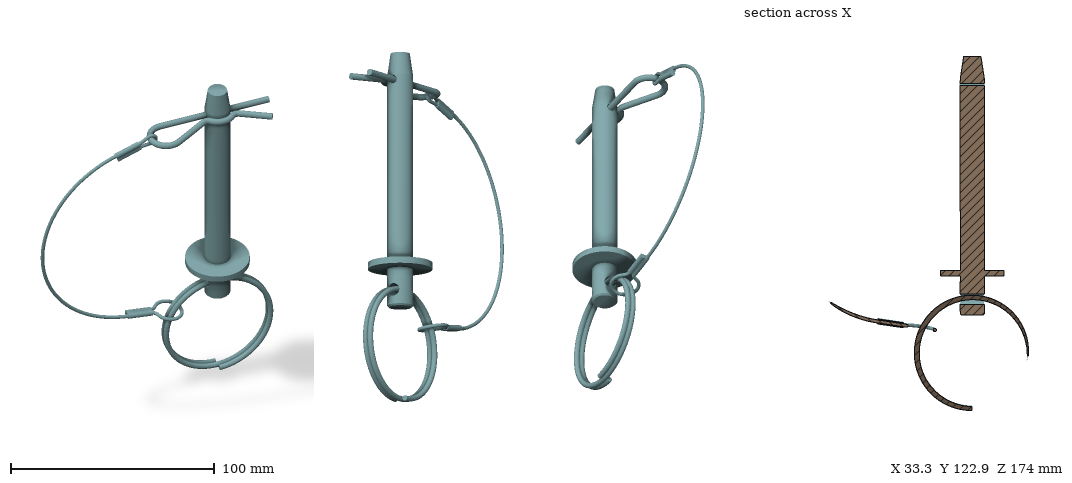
import cadquery as cq
import math


pin_dia = 12.7
grip_length = 104.775
taper_length = 11.1125
tip_dia = 9.525
collar_dia = 31.75
collar_thickness = 3.175
shank_length = 19.05
end_chamfer = 0.8
cotter_hole_dia = 3.97
cotter_hole_below_tip = 13.8
cotter_z = grip_length - cotter_hole_below_tip
ring_hole_dia = 6.35
pin_bottom_z = -collar_thickness - shank_length
ring_hole_above_bottom = 7.9375
ring_hole_z = pin_bottom_z + ring_hole_above_bottom

cotter_wire_dia = 3.175
bulge_radius = (pin_dia + cotter_wire_dia) / 2
bend_radius = bulge_radius
blend_radius = 3.175
straight_leg_end_y = 27.0
bend_y = -30.25
spring_leg_angle = 30.0
tail_length = 16.5

ring_outer_dia = 57.15
ring_wire_dia = 2.7
ring_pitch = 2.73
ring_turns = 2
ring_center_below_pin = 18.455
ring_center_z = pin_bottom_z - ring_center_below_pin

cable_dia = 1.76
ferrule_length = 12.9
ferrule_lobe_dia = 1.5 * cable_dia
ferrule_groove_radius = 2.1
lane_offset = 1.26
cable_lean = 4.85
upper_slope = 20.0
lower_slope = 8.5
upper_loop_radius = 2.55
upper_loop_to_ferrule = 6.3
lower_loop_radius = 6.8
lower_loop_to_ferrule = 8.8
lower_loop_shift = 0.9
lower_ferrule_drop = 118.5
lower_ferrule_y = -33.7
cable_apex_y = -93.445
cable_apex_drop = 60.3


def make_pin():
    body = (
        cq.Workplane("XZ")
        .moveTo(0, pin_bottom_z)
        .lineTo(pin_dia / 2 - end_chamfer, pin_bottom_z)
        .lineTo(pin_dia / 2, pin_bottom_z + end_chamfer)
        .lineTo(pin_dia / 2, -collar_thickness)
        .lineTo(collar_dia / 2, -collar_thickness)
        .lineTo(collar_dia / 2, 0)
        .lineTo(pin_dia / 2, 0)
        .lineTo(pin_dia / 2, grip_length - taper_length)
        .lineTo(tip_dia / 2, grip_length)
        .lineTo(0, grip_length)
        .close()
        .revolve(360, (0, 0), (0, 1))
    )
    for hole_z, hole_dia in ((cotter_z, cotter_hole_dia), (ring_hole_z, ring_hole_dia)):
        hole = cq.Workplane("XZ").center(0, hole_z).circle(hole_dia / 2).extrude(pin_dia, both=True)
        body = body.cut(hole)
    return body


def make_cotter():
    angle = math.radians(spring_leg_angle)
    outward = cq.Vector(math.cos(angle), math.sin(angle))
    along = cq.Vector(-math.sin(angle), math.cos(angle))
    bend_center = cq.Vector(bend_radius, bend_y)
    bend_end = bend_center + outward * bend_radius

    leg_offset = bend_end.dot(outward)
    blend_offset = leg_offset + blend_radius
    foot_distance = math.sqrt((bulge_radius + blend_radius) ** 2 - blend_offset ** 2)
    blend_center = outward * blend_offset - along * foot_distance
    leg_end = blend_center - outward * blend_radius
    bulge_start = blend_center.normalized() * bulge_radius
    to_blend_middle = (leg_end - blend_center).normalized() + (bulge_start - blend_center).normalized()
    blend_middle = blend_center + to_blend_middle.normalized() * blend_radius

    def mirrored(point):
        return cq.Vector(point.x, -point.y)

    tail_end = mirrored(leg_end - along * tail_length)
    path = (
        cq.Workplane("XY", origin=(0, 0, cotter_z))
        .moveTo(0, straight_leg_end_y)
        .lineTo(0, bend_y)
        .threePointArc((bend_radius, bend_y - bend_radius), bend_end.toTuple()[:2])
        .lineTo(leg_end.x, leg_end.y)
        .threePointArc(blend_middle.toTuple()[:2], bulge_start.toTuple()[:2])
        .threePointArc((bulge_radius, 0), mirrored(bulge_start).toTuple()[:2])
        .threePointArc(mirrored(blend_middle).toTuple()[:2], mirrored(leg_end).toTuple()[:2])
        .lineTo(tail_end.x, tail_end.y)
    )
    profile = cq.Workplane("XZ", origin=(0, straight_leg_end_y, cotter_z)).circle(cotter_wire_dia / 2)
    return profile.sweep(path)


def make_split_ring():
    coil_radius = (ring_outer_dia - ring_wire_dia) / 2
    coil_width = ring_turns * ring_pitch
    helix = cq.Wire.makeHelix(ring_pitch, coil_width, coil_radius, lefthand=True)
    profile = cq.Workplane("XZ", origin=(coil_radius, 0, 0)).circle(ring_wire_dia / 2)
    coil = profile.sweep(cq.Workplane(obj=helix), isFrenet=True)
    return (
        coil.rotate((0, 0, 0), (0, 1, 0), 90)
        .translate((-coil_width / 2, 0, ring_center_z))
    )


lanyard_origin = cq.Vector(bend_radius, bend_y - bend_radius, cotter_z)

upper_angle = math.radians(upper_slope)
upper_axis = cq.Vector(0, -math.cos(upper_angle), -math.sin(upper_angle))
upper_side = cq.Vector(0, -math.sin(upper_angle), math.cos(upper_angle))
upper_loop_center = cq.Vector(0, 0, 0)
upper_mouth = upper_axis * upper_loop_to_ferrule

lower_angle = math.radians(lower_slope)
lower_axis = cq.Vector(0, -math.cos(lower_angle), math.sin(lower_angle))
lower_side = cq.Vector(1, 0, 0)
lower_mouth = cq.Vector(-lane_offset, lower_ferrule_y - lanyard_origin.y, -lower_ferrule_drop)
lower_loop_center = lower_mouth - lower_axis * lower_loop_to_ferrule + lower_side * lower_loop_shift


def place_lanyard(shape):
    leaned = shape.rotate((0, 0, 0), (0, 1, 0), cable_lean)
    return leaned.translate(lanyard_origin)


def make_cable_end(mouth, axis, side, loop_center, loop_radius):
    """Centerline from the tail's end, through the ferrule, around the loop and back through the ferrule."""
    edges = []
    lane_mouths = [mouth - side * lane_offset, mouth + side * lane_offset]
    touch_points = []
    touch_tangents = []
    for lane_mouth, turn in zip(lane_mouths, (-1, 1)):
        to_mouth = lane_mouth - loop_center
        tangent_angle = math.acos(loop_radius / to_mouth.Length)
        mouth_angle = math.atan2(to_mouth.dot(side), to_mouth.dot(axis))
        touch_angle = mouth_angle + turn * tangent_angle
        radial = axis * math.cos(touch_angle) + side * math.sin(touch_angle)
        touch_points.append(loop_center + radial * loop_radius)
        touch_tangents.append((lane_mouth - touch_points[-1]).normalized())

    tail_touch, cable_touch = touch_points
    loop_far_point = loop_center - axis * loop_radius
    lane_length = axis * ferrule_length
    edges.append(cq.Edge.makeLine(lane_mouths[0] + lane_length, lane_mouths[0]))
    edges.append(cq.Edge.makeSpline([lane_mouths[0], tail_touch], [axis * -1, touch_tangents[0] * -1]))
    edges.append(cq.Edge.makeThreePointArc(tail_touch, loop_far_point, cable_touch))
    edges.append(cq.Edge.makeSpline([cable_touch, lane_mouths[1]], [touch_tangents[1], axis]))
    edges.append(cq.Edge.makeLine(lane_mouths[1], lane_mouths[1] + lane_length))
    return edges


def make_round_run(start, start_direction, end, end_direction):
    """Nearly circular curve that keeps exact directions at both ends."""
    turn = start_direction.getAngle(end_direction)
    radius = (end - start).Length / (2 * math.sin(turn / 2))
    handle = 4 / 3 * math.tan(turn / 4) * radius
    return cq.Edge.makeBezier(
        [start, start + start_direction * handle, end - end_direction * handle, end]
    )


def make_cable():
    upper_edges = make_cable_end(upper_mouth, upper_axis, upper_side, upper_loop_center, upper_loop_radius)
    lower_edges = make_cable_end(lower_mouth, lower_axis, lower_side, lower_loop_center, lower_loop_radius)
    run_start = upper_edges[-1].endPoint()
    run_end = lower_edges[-1].endPoint()
    apex = cq.Vector(0, cable_apex_y - lanyard_origin.y, -cable_apex_drop)
    down = cq.Vector(0, 0, -1)
    run = [
        make_round_run(run_start, upper_axis, apex, down),
        make_round_run(apex, down, run_end, lower_axis * -1),
    ]
    path = cq.Wire.assembleEdges(upper_edges + run + lower_edges[::-1])
    tail_end = upper_edges[0].startPoint()
    profile = cq.Workplane(cq.Plane(tail_end, (1, 0, 0), upper_axis)).circle(cable_dia / 2)
    return place_lanyard(profile.sweep(cq.Workplane(obj=path)))


def make_ferrule(mouth, axis, side):
    """Figure-eight sleeve: two round lobes joined by shallow grooves, with a bore for each lane."""
    lobe_radius = ferrule_lobe_dia / 2
    center_distance = lobe_radius + ferrule_groove_radius
    groove_height = math.sqrt(center_distance ** 2 - lane_offset ** 2)
    waist = groove_height - ferrule_groove_radius
    seam_x = lane_offset * ferrule_groove_radius / center_distance
    seam_y = groove_height * lobe_radius / center_distance
    outer_x = lane_offset + lobe_radius
    plane = cq.Plane(mouth, side, axis)
    sleeve = (
        cq.Workplane(plane)
        .moveTo(-seam_x, seam_y)
        .threePointArc((0, waist), (seam_x, seam_y))
        .threePointArc((outer_x, 0), (seam_x, -seam_y))
        .threePointArc((0, -waist), (-seam_x, -seam_y))
        .threePointArc((-outer_x, 0), (-seam_x, seam_y))
        .close()
        .extrude(ferrule_length)
    )
    lanes = [(-lane_offset, 0), (lane_offset, 0)]
    bores = cq.Workplane(plane).pushPoints(lanes).circle(cable_dia / 2).extrude(ferrule_length)
    return place_lanyard(sleeve.cut(bores))


pin = make_pin()
cotter = make_cotter()
split_ring = make_split_ring()
cable = make_cable()
ferrule_seats = ((upper_mouth, upper_axis, upper_side), (lower_mouth, lower_axis, lower_side))
ferrules = [make_ferrule(*seat) for seat in ferrule_seats]

result = cq.Compound.makeCompound(
    [pin.val(), cotter.val(), split_ring.val(), cable.val()]
    + [ferrule.val() for ferrule in ferrules]
)